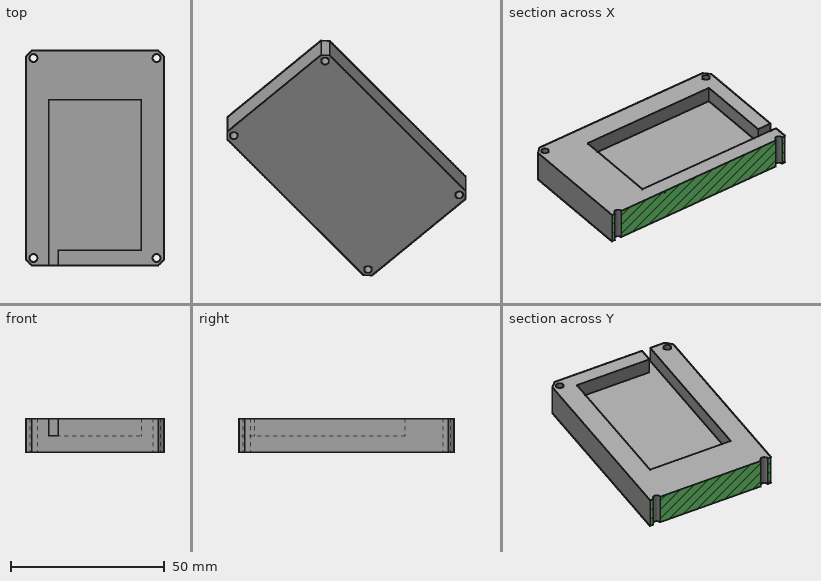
import cadquery as cq

width = 45.0
length = 70.0
height = 11.0
corner_chamfer = 2.0

hole_diameter = 2.5
hole_edge_distance = 2.5

pocket_width = 30.0
pocket_length = 49.0
pocket_depth = 5.5
front_wall = 5.0

slot_width = 3.0

front_y = -length / 2
pocket_left_x = -pocket_width / 2
pocket_floor_z = height - pocket_depth


def make_block():
    """Plain block with its four upright edges chamfered."""
    block = cq.Workplane("XY").box(width, length, height, centered=(True, True, False))
    return block.edges("|Z").chamfer(corner_chamfer)


def make_screw_holes():
    """Four through-hole cutters at the corners."""
    spacing_x = width - 2 * hole_edge_distance
    spacing_y = length - 2 * hole_edge_distance
    corners = cq.Workplane("XY").rect(spacing_x, spacing_y, forConstruction=True).vertices()
    return corners.circle(hole_diameter / 2).extrude(height)


def make_recess(start_y, recess_width, recess_length):
    """Cutter from the pocket's left side and the given Y, down to the pocket floor."""
    corner = (pocket_left_x, start_y, pocket_floor_z)
    return cq.Workplane("XY", origin=corner).box(recess_width, recess_length, pocket_depth, centered=False)


pocket = make_recess(front_y + front_wall, pocket_width, pocket_length)
cable_slot = make_recess(front_y, slot_width, front_wall)

result = make_block().cut(make_screw_holes()).cut(pocket).cut(cable_slot)